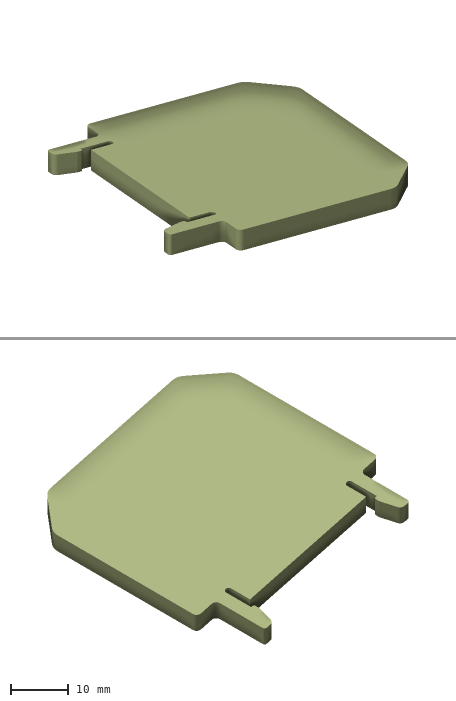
import cadquery as cq
import math

width = 50.0
length = 50.5
thickness = 4.0
shoulder_y = 11.05
tongue_y = 6.55
top_chamfer = 7.05
top_corner_radius = 2.8
shoulder_radius = 1.0

leg_inset = 5.0
leg_width = 2.7
slot_width = 1.3
slot_end_y = 11.45
hook_depth = 0.7
hook_shelf_y = 5.25
hook_land = 1.1
lead_in_angle = 15.0
hook_radius = 0.4
toe_outer_radius = 0.5
toe_inner_radius = 1.0

half_width = width / 2
leg_outer_x = half_width - leg_inset
leg_inner_x = leg_outer_x - leg_width
tongue_half_width = leg_inner_x - slot_width
hook_tip_x = leg_inner_x - hook_depth
hook_land_y = hook_shelf_y - hook_land
toe_x = hook_tip_x + hook_land_y * math.tan(math.radians(lead_in_angle))


def round_edge(body, x, y, radius):
    """Fillet the upright edge at (x, y)."""
    edge = cq.selectors.NearestToPointSelector((x, y, thickness / 2))
    return body.edges("|Z").edges(edge).fillet(radius)


def make_half_plate():
    """Right half of the plate with its leg, up to the centre plane X = 0."""
    slot_radius = slot_width / 2
    slot_straight_y = slot_end_y - slot_radius
    body = (
        cq.Workplane("XY")
        .moveTo(0, tongue_y)
        .lineTo(tongue_half_width, tongue_y)
        .lineTo(tongue_half_width, slot_straight_y)
        .threePointArc(
            (tongue_half_width + slot_radius, slot_end_y),
            (leg_inner_x, slot_straight_y),
        )
        .lineTo(leg_inner_x, hook_shelf_y)
        .lineTo(hook_tip_x, hook_shelf_y)
        .lineTo(hook_tip_x, hook_land_y)
        .lineTo(toe_x, 0)
        .lineTo(leg_outer_x, 0)
        .lineTo(leg_outer_x, shoulder_y)
        .lineTo(half_width, shoulder_y)
        .lineTo(half_width, length - top_chamfer)
        .lineTo(half_width - top_chamfer, length)
        .lineTo(0, length)
        .close()
        .extrude(thickness)
    )
    rounded_corners = [
        (hook_tip_x, hook_shelf_y, hook_radius),
        (toe_x, 0, toe_inner_radius),
        (leg_outer_x, 0, toe_outer_radius),
        (leg_outer_x, shoulder_y, shoulder_radius),
        (half_width, shoulder_y, shoulder_radius),
        (half_width, length - top_chamfer, top_corner_radius),
        (half_width - top_chamfer, length, top_corner_radius),
    ]
    for x, y, radius in rounded_corners:
        body = round_edge(body, x, y, radius)
    return body


half_plate = make_half_plate()
result = half_plate.union(half_plate.mirror("YZ")).clean()